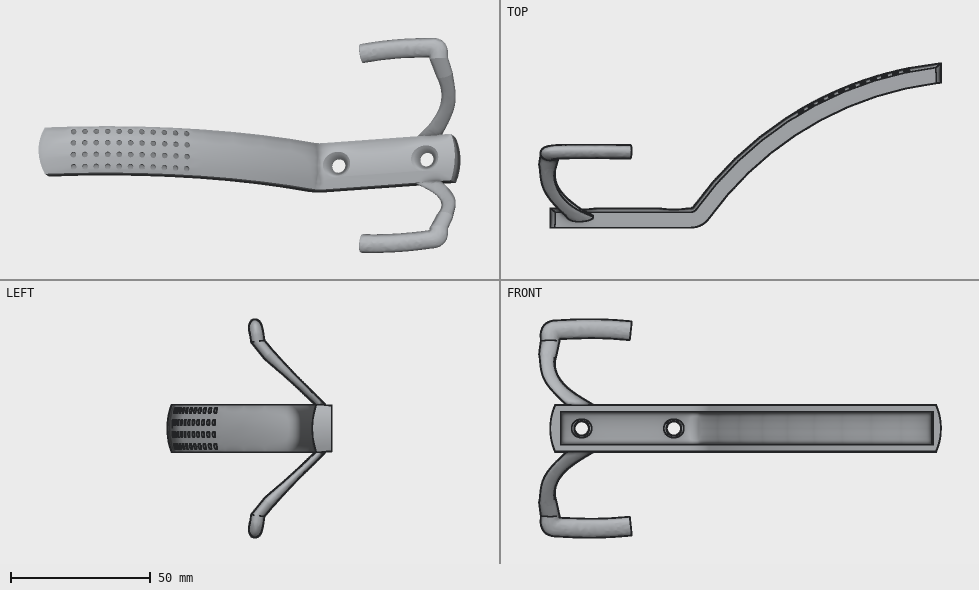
import cadquery as cq
import math

base_width = 16.5
front_width = 17.1
crown_height = 7.0
side_height = 5.6

bar_length = 139.95
end_bulge = 1.85
bend_x = 50.4
inner_bend_radius = 1.0
bend_y = crown_height + inner_bend_radius
bend_angle = 54.38
arm_radius = 118.0
arm_centre_x = bend_x + (arm_radius + bend_y) * math.sin(math.radians(bend_angle))
arm_centre_y = bend_y - (arm_radius + bend_y) * math.cos(math.radians(bend_angle))

pocket_width = 11.8
floor_thickness = 2.2
pocket_start = 3.8
pocket_end = 137.2
pocket_height = crown_height - floor_thickness
overlap = 1.0

hole_diameter = 5.0
hole_land = 0.3
collar_height = 0.7
collar_base_diameter = 7.2
collar_rim_diameter = 5.4
hole_positions = (11.3, 44.3)

dimple_diameter = 2.0
dimple_depth = 1.0
dimple_rows = 11
first_dimple_angle = 30.5
dimple_angle_step = 1.88
dimple_columns = 4
dimple_column_pitch = 4.3

prong_top = 39.19
blade_left = -1.04
blade_angle = 46.0
blade_radius = 27.0
blade_root_y = 3.8
blade_root_z = 8.25
blade_crest = 23.0
foot_x = 9.7
foot_y = 3.6
foot_z = 8.0
foot_length = 13.2
foot_thickness = 3.6
blade_sections = (
    (4.0, 5.8, 2.8),
    (12.0, 5.2, 2.9),
    (19.0, 5.2, 3.5),
    (26.0, 6.3, 4.3),
)
elbow_base = cq.Vector(0, 26.5, 31.2)
elbow_base_width = 6.8
elbow_corner = cq.Vector(0.73, 27.0, 34.5)
elbow_corner_width = 7.7
rod_tilt = 8.0
rod_width = 6.9
rod_thickness = 4.9
rod_y = 27.3
rod_start_x = 3.7
rod_crest_x = 14.0
rod_end_x = 28.9
rod_arc_radius = 140.0
rod_end_fillet = 0.4

right = cq.Vector(1, 0, 0)
blade_up = cq.Vector(0, math.sin(math.radians(blade_angle)), math.cos(math.radians(blade_angle)))
rod_up = cq.Vector(0, math.sin(math.radians(rod_tilt)), math.cos(math.radians(rod_tilt)))

section_crown_radius = ((front_width / 2) ** 2 + (crown_height - side_height) ** 2) / (
    2 * (crown_height - side_height)
)


def crown_drop(z):
    """How far the crowned front lies below its crest at a distance z from the middle."""
    return section_crown_radius - math.sqrt(section_crown_radius**2 - z**2)


def bar_section(x):
    return (
        cq.Workplane("YZ", origin=(x, 0, 0))
        .moveTo(0, -base_width / 2)
        .lineTo(side_height, -front_width / 2)
        .threePointArc((crown_height, 0), (side_height, front_width / 2))
        .lineTo(0, base_width / 2)
        .close()
    )


def pocket_section(x):
    half = pocket_width / 2
    corner_height = pocket_height - crown_drop(half)
    return (
        cq.Workplane("YZ", origin=(x, 0, 0))
        .moveTo(-overlap, -half)
        .lineTo(corner_height, -half)
        .threePointArc((pocket_height, 0), (corner_height, half))
        .lineTo(-overlap, half)
        .close()
    )


def follow_bar(section, start_x, arm_sweep):
    """Carry a section along the backplate, round the bend and along the arm."""
    plate = section(start_x).extrude(bend_x - start_x)
    bend = section(bend_x).revolve(bend_angle, (bend_y, 0), (bend_y, 1))
    arm = section(bend_x).revolve(arm_sweep, (-arm_radius, 1), (-arm_radius, 0))
    arm = arm.rotate((bend_x, bend_y, 0), (bend_x, bend_y, 1), bend_angle)
    return plate.union(bend).union(arm)


def arm_sweep_to(x):
    """Arm angle from the bend to the place where its back face reaches x."""
    return bend_angle - math.degrees(math.asin((arm_centre_x - x) / arm_radius))


def end_outline():
    """A tall block with the bar's bulged ends, used to trim the bar."""
    half = front_width / 2
    return (
        cq.Workplane("XZ", origin=(0, -overlap, 0))
        .moveTo(end_bulge, -half)
        .lineTo(bar_length - end_bulge, -half)
        .threePointArc((bar_length, 0), (bar_length - end_bulge, half))
        .lineTo(end_bulge, half)
        .threePointArc((0, 0), (end_bulge, -half))
        .close()
        .extrude(-arm_radius)
    )


def bar_blank():
    sweep = arm_sweep_to(bar_length + end_bulge)
    return follow_bar(bar_section, -overlap, sweep).intersect(end_outline())


def bar_pocket():
    return follow_bar(pocket_section, pocket_start, arm_sweep_to(pocket_end))


def hole_collar(x):
    return (
        cq.Workplane("XZ", origin=(x, pocket_height, 0))
        .circle(collar_base_diameter / 2)
        .workplane(offset=collar_height)
        .circle(collar_rim_diameter / 2)
        .loft()
        .union(
            cq.Workplane("XZ", origin=(x, pocket_height, 0))
            .circle(collar_base_diameter / 2)
            .extrude(-floor_thickness / 2)
        )
    )


def screw_hole(x):
    """A short round land at the collar rim, opening at 45 degrees a side to the front."""
    land_end = pocket_height - collar_height + hole_land
    countersink_height = crown_height + overlap - land_end
    land = cq.Workplane("XZ", origin=(x, 0, 0)).circle(hole_diameter / 2).extrude(-land_end)
    countersink = (
        cq.Workplane("XZ", origin=(x, land_end, 0))
        .circle(hole_diameter / 2)
        .workplane(offset=-countersink_height)
        .circle(hole_diameter / 2 + countersink_height)
        .loft()
    )
    return land.union(countersink)


def dimple(angle, z):
    """A blind round hole square to the arm, at an angle from the arm's highest point."""
    bottom = arm_radius + crown_height - crown_drop(z) - dimple_depth
    return (
        cq.Workplane("XZ", origin=(arm_centre_x, arm_centre_y + bottom, z))
        .circle(dimple_diameter / 2)
        .extrude(-dimple_depth - overlap)
        .rotate((arm_centre_x, arm_centre_y, 0), (arm_centre_x, arm_centre_y, 1), angle)
    )


def prong_ellipse(centre, inward, along, width, thickness):
    """An elliptical section square to `along`, its width lying along `inward`."""
    plane = cq.Plane(origin=centre, xDir=inward, normal=along)
    return cq.Workplane(plane).ellipse(width / 2, thickness / 2).wires().val()


def blade_ellipse(distance, width, thickness):
    lean = math.asin((distance - blade_crest) / blade_radius)
    inward = right * math.cos(lean) - blade_up * math.sin(lean)
    along = right * math.sin(lean) + blade_up * math.cos(lean)
    crest = cq.Vector(blade_left, blade_root_y, blade_root_z) + blade_up * blade_crest
    centre = crest + right * blade_radius - inward * blade_radius
    return prong_ellipse(centre, inward, along, width, thickness)


def rod_ellipse(x):
    lean = math.asin((x - rod_crest_x) / rod_arc_radius)
    inward = rod_up * -math.cos(lean) - right * math.sin(lean)
    along = right * math.cos(lean) - rod_up * math.sin(lean)
    crest = cq.Vector(rod_crest_x, rod_y, prong_top - rod_width / 2)
    centre = crest - rod_up * rod_arc_radius - inward * rod_arc_radius
    return prong_ellipse(centre, inward, along, rod_width, rod_thickness)


def loft(sections):
    return cq.Workplane(cq.Solid.makeLoft(sections))


def prong():
    foot_wire = prong_ellipse(
        cq.Vector(foot_x, foot_y, foot_z), right, cq.Vector(0, 0, 1), foot_length, foot_thickness
    )
    blade_wires = [blade_ellipse(*section) for section in blade_sections]
    base_wire = prong_ellipse(elbow_base, right, rod_up, elbow_base_width, rod_thickness)
    corner_wire = prong_ellipse(
        elbow_corner, right - rod_up, right + rod_up, elbow_corner_width, rod_thickness
    )
    rod_wires = [rod_ellipse(x) for x in (rod_start_x, rod_crest_x, rod_end_x)]

    blade = loft([foot_wire] + blade_wires)
    neck = loft([blade_wires[-1], base_wire])
    elbow = loft([base_wire, corner_wire, rod_wires[0]])
    rod = loft(rod_wires).faces(">X").edges().fillet(rod_end_fillet)
    return blade.union(neck).union(elbow).union(rod)


def grip_dimples():
    dimples = []
    for row in range(dimple_rows):
        for column in range(dimple_columns):
            z = (column - (dimple_columns - 1) / 2) * dimple_column_pitch
            dimples.append(dimple(first_dimple_angle - row * dimple_angle_step, z).val())
    return cq.Workplane(cq.Compound.makeCompound(dimples))


upper_prong = prong()
result = bar_blank().union(upper_prong).union(upper_prong.mirror("XY"))
result = result.cut(bar_pocket())
for hole_x in hole_positions:
    result = result.union(hole_collar(hole_x)).cut(screw_hole(hole_x))
result = result.cut(grip_dimples(), clean=False)